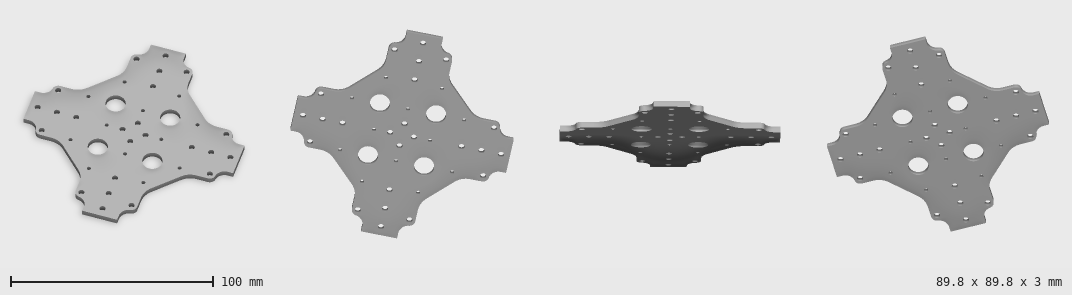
import cadquery as cq
import math

overall = 89.8
thickness = 3.0
side_distance = 35.0
arm_half_width = 9.1
ear_along = 43.6
ear_across = 13.0
ear_radius = 3.0
notch_radius = 5.0
side_fillet_radius = 10.0

mount_diameter = 3.0
small_diameter = 2.0
large_diameter = 10.0
grid_pitch = 20.0
arm_hole_distances = (30.0, 40.0, 50.0)
centre_hole_offset = 4.2

root2 = math.sqrt(2)
arm_end = overall / 2 * root2 - arm_half_width
notch_across = arm_half_width + notch_radius
notch_rise = notch_across - ear_across
notch_along = ear_along + math.sqrt((ear_radius + notch_radius) ** 2 - notch_rise ** 2)
ear_notch_angle = math.degrees(math.atan2(notch_rise, notch_along - ear_along))
fillet_across = ear_across + ear_radius + side_fillet_radius
fillet_along = root2 * (side_distance + side_fillet_radius) - fillet_across

arm_angles = (45, 135, 225, 315)


def from_arm(u, v, arm_angle):
    """Turn arm coordinates into plate X, Y."""
    a = math.radians(arm_angle)
    return (u * math.cos(a) - v * math.sin(a), u * math.sin(a) + v * math.cos(a))


def arc_points(centre, radius, start, end, arm_angle):
    """Start, middle and end points of an arc given in arm coordinates."""
    points = []
    for degrees in (start, (start + end) / 2, end):
        a = math.radians(degrees)
        u = centre[0] + radius * math.cos(a)
        v = centre[1] + radius * math.sin(a)
        points.append(from_arm(u, v, arm_angle))
    return points


def arm_edges(arm_angle):
    """Edges around one arm, counterclockwise from one side fillet to the other."""
    flank = [
        ((fillet_along, fillet_across), side_fillet_radius, 225, 270),
        ((ear_along, ear_across), ear_radius, 90, ear_notch_angle),
        ((notch_along, notch_across), notch_radius, 180 + ear_notch_angle, 270),
    ]
    arcs = []
    for (u, v), radius, start, end in flank:
        arcs.append(arc_points((u, -v), radius, -start, -end, arm_angle))
    fillet, ear, notch = arcs
    corner = from_arm(arm_end, -arm_half_width, arm_angle)

    mirrored = []
    for centre, radius, start, end in flank:
        mirrored.append(arc_points(centre, radius, end, start, arm_angle))
    far_fillet, far_ear, far_notch = mirrored
    far_corner = from_arm(arm_end, arm_half_width, arm_angle)

    return [
        fillet, (fillet[-1], ear[0]), ear, notch, (notch[-1], corner),
        (corner, far_corner),
        (far_corner, far_notch[0]), far_notch, far_ear, (far_ear[-1], far_fillet[0]), far_fillet,
    ]


def make_plate():
    """Flat plate with four diagonal arms joined by straight sides."""
    outline = cq.Workplane("XY").moveTo(*arm_edges(arm_angles[0])[0][0])
    for arm_angle in arm_angles:
        edges = arm_edges(arm_angle)
        if arm_angle != arm_angles[0]:
            outline = outline.lineTo(*edges[0][0])
        for _, *following in edges:
            if len(following) == 1:
                outline = outline.lineTo(*following[0])
            else:
                outline = outline.threePointArc(*following)
    return outline.close().extrude(thickness)


def drill(plate, points, diameter):
    """Cut through holes at the given X, Y points."""
    cutters = cq.Workplane("XY").pushPoints(points).circle(diameter / 2).extrude(thickness)
    return plate.cut(cutters)


mount_points = []
for arm_angle in arm_angles:
    for distance in arm_hole_distances:
        mount_points.append(from_arm(distance, 0, arm_angle))
    for across in (-ear_across, ear_across):
        mount_points.append(from_arm(ear_along, across, arm_angle))
    mount_points.append(from_arm(centre_hole_offset * root2, 0, arm_angle))

grid_steps = (-1.5, -0.5, 0.5, 1.5)
small_points = []
for i in grid_steps:
    for j in grid_steps:
        if abs(i) + abs(j) < 2 * grid_steps[-1]:
            small_points.append((i * grid_pitch, j * grid_pitch))

large_points = [(grid_pitch, 0), (0, grid_pitch), (-grid_pitch, 0), (0, -grid_pitch)]

result = make_plate()
result = drill(result, mount_points, mount_diameter)
result = drill(result, small_points, small_diameter)
result = drill(result, large_points, large_diameter)